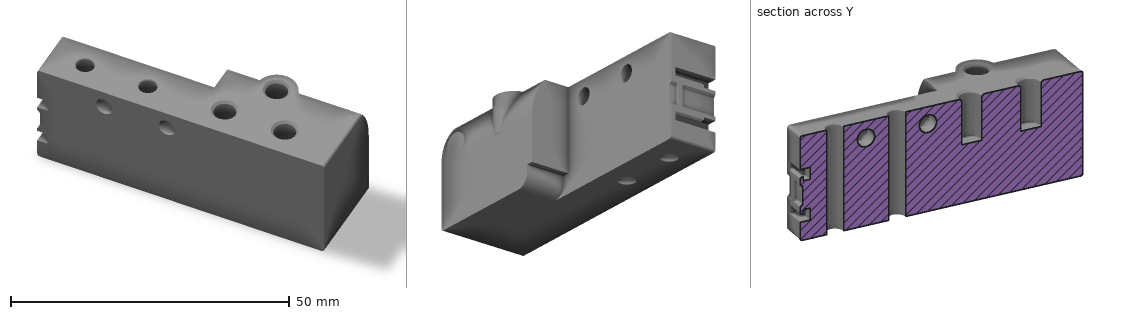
import cadquery as cq
import math

length = 57.4
height = 21.0
bar_depth = 10.0
block_depth = 18.2
step_x = 30.55
end_radius = 0.5

curve_radius = 11.5
curve_top_y = 15.25
curve_center_y = block_depth - curve_radius
curve_bottom_z = height - math.sqrt(curve_radius**2 - (curve_top_y - curve_center_y) ** 2)

undercut_height = 4.0
undercut_depth = 1.5
undercut_radius = 2.45

port_diameter = 4.15
port_chamfer = 0.45
port_depth = 9.2
port_spacing = 12.0
first_port_x = 34.85
port_y = 5.5
boss_x = first_port_x + port_spacing / 2
boss_y = 14.4
boss_radius = 3.9

mount_diameter = 3.4
mount_chamfer = 0.2
mount_spacing = 12.55
vertical_mount_x = 7.1
vertical_mount_y = 5.05
cross_mount_x = 13.4
cross_mount_z = 17.55

pad_diameter = 5.15
pad_x = 53.3
pad_z = 15.45
pad_length = block_depth - curve_top_y

end_center_z = 9.0
slot_inner_offset = 2.9
slot_width = 2.3
slot_depth = 2.05
slot_length = 9.0
lip_start_y = 2.65
lip_thickness = 0.7
lip_height = 0.85
lip_bevel = 0.35

recess_half_height = 2.25
recess_depth = 0.5
rib_start_y = 7.45
rib_end_y = 8.5


def prism_along_y(points, start_y, end_y):
    """Extrude an outline of (x, z) points between two Y positions."""
    outline = cq.Workplane("XZ", origin=(0, start_y, 0)).polyline(points).close()
    return outline.extrude(start_y - end_y)


def make_body():
    bar = cq.Workplane("XY").box(length, bar_depth, height, centered=False)
    block = cq.Workplane("XY").box(length - step_x, block_depth, height, centered=False)
    body = bar.union(block.translate((step_x, 0, 0)))
    body = body.edges("|Y and (<X or >X)").fillet(end_radius)
    curve_cut = (
        cq.Workplane("YZ", origin=(step_x, 0, 0))
        .moveTo(block_depth, curve_bottom_z)
        .radiusArc((curve_top_y, height), -curve_radius)
        .lineTo(block_depth, height)
        .close()
        .extrude(length - step_x)
    )
    return body.cut(curve_cut)


def make_undercut():
    face_x = step_x + undercut_depth
    cutter = (
        cq.Workplane("XZ", origin=(0, bar_depth, 0))
        .moveTo(step_x, 0)
        .lineTo(step_x, undercut_height)
        .lineTo(face_x, undercut_height)
        .lineTo(face_x, undercut_radius)
        .radiusArc((face_x + undercut_radius, 0), -undercut_radius)
        .close()
    )
    return cutter.extrude(bar_depth - block_depth)


def make_boss():
    boss = cq.Workplane("XY", origin=(boss_x, boss_y, curve_bottom_z))
    return boss.circle(boss_radius).extrude(height - curve_bottom_z)


def make_rear_pad():
    pad = cq.Workplane("XZ", origin=(pad_x, block_depth, pad_z))
    return pad.circle(pad_diameter / 2).extrude(pad_length)


def make_top_hole(x, y, diameter, depth, chamfer):
    """Drill from the top face, with a countersunk mouth."""
    bore = cq.Workplane("XY", origin=(x, y, height - depth)).circle(diameter / 2).extrude(depth)
    mouth = cq.Workplane("XY", origin=(x, y, height)).circle(diameter / 2 + chamfer)
    mouth = mouth.workplane(offset=-chamfer).circle(diameter / 2).loft()
    return bore.union(mouth)


def make_upper_slot():
    bottom = end_center_z + slot_inner_offset
    slot = cq.Workplane("XY").box(slot_depth, slot_length, slot_width, centered=False)
    slot = slot.translate((0, 0, bottom))
    lip_top = bottom + lip_height
    lip_outline = [
        (0, bottom),
        (lip_thickness, bottom),
        (lip_thickness, lip_top),
        (lip_bevel, lip_top),
        (0, lip_top - lip_bevel),
    ]
    lip = prism_along_y(lip_outline, lip_start_y, slot_length)
    end_bevel = (
        cq.Workplane("YZ")
        .moveTo(lip_start_y, lip_top - lip_bevel)
        .lineTo(lip_start_y, lip_top)
        .lineTo(lip_start_y + lip_bevel, lip_top)
        .close()
        .extrude(lip_thickness)
    )
    return slot.cut(lip.cut(end_bevel))


def make_recess(start_y, end_y):
    floor_half_height = recess_half_height - recess_depth
    outline = [
        (0, end_center_z - recess_half_height),
        (recess_depth, end_center_z - floor_half_height),
        (recess_depth, end_center_z + floor_half_height),
        (0, end_center_z + recess_half_height),
    ]
    return prism_along_y(outline, start_y, end_y)


result = make_body().cut(make_undercut()).union(make_boss()).union(make_rear_pad())

ports = [
    (first_port_x, port_y),
    (first_port_x + port_spacing, port_y),
    (boss_x, boss_y),
]
for x, y in ports:
    result = result.cut(make_top_hole(x, y, port_diameter, port_depth, port_chamfer))

for offset in (0, mount_spacing):
    vertical_x = vertical_mount_x + offset
    result = result.cut(
        make_top_hole(vertical_x, vertical_mount_y, mount_diameter, height, mount_chamfer)
    )
    cross_hole = cq.Workplane("XZ", origin=(cross_mount_x + offset, 0, cross_mount_z))
    result = result.cut(cross_hole.circle(mount_diameter / 2).extrude(-bar_depth))

upper_slot = make_upper_slot()
lower_slot = upper_slot.mirror("XY", (0, 0, end_center_z))
result = result.cut(upper_slot).cut(lower_slot)

for start_y, end_y in ((0, rib_start_y), (rib_end_y, bar_depth)):
    result = result.cut(make_recess(start_y, end_y))